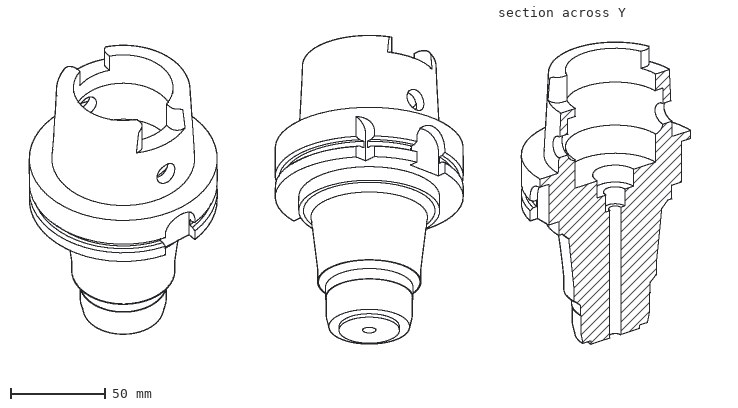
import cadquery as cq
import math

SHANK_TOP = 50.0
FLANGE_BOTTOM = -29.0
NOSE_BOTTOM = -107.4

SHANK_BASE_RADIUS = 38.0
SHANK_SLOPE = 0.05
SHANK_TOP_RADIUS = SHANK_BASE_RADIUS - SHANK_SLOPE * SHANK_TOP
SHANK_RIM_FILLET = 2.0

FLANGE_RADIUS = 50.0
GROOVE_LIP_RADIUS = 48.0
GROOVE_RADIUS = 45.8
GROOVE_CENTRE = -19.85
GROOVE_WIDTH = 3.75
GROOVE_LIP_ANGLE = 30.0

COLLAR_RADIUS = 37.5
COLLAR_BOTTOM = -37.0
NECK_SHOULDER_RADIUS = 35.0
NECK_TOP_RADIUS = 31.0
NECK_TOP = -40.8
NECK_RADIUS = 27.5
NECK_TAPER_END = -71.2
NECK_BOTTOM = -79.0
NOSE_SHOULDER_RADIUS = 27.0
NOSE_COLLAR_RADIUS = 23.3
NOSE_COLLAR_TOP = -82.2
NOSE_COLLAR_BOTTOM = -88.2
NOSE_RADIUS = 22.9
NOSE_TAPER_START = -99.2
NOSE_END_RADIUS = 21.5
NOSE_END = -105.4
NOSE_TIP_RADIUS = 16.1

BORE_RADIUS = 26.5
BORE_FLOOR = -12.0
UNDERCUT_RADIUS = 31.4
UNDERCUT_TOP = 30.0
UNDERCUT_FILLET = UNDERCUT_RADIUS - BORE_RADIUS
UNDERCUT_FILLET_TOP = 9.5
UNDERCUT_BOTTOM = UNDERCUT_FILLET_TOP - UNDERCUT_FILLET
RECESS_RADIUS = 12.0
RECESS_DEPTH = 10.0
COUNTERBORE_RADIUS = 6.2
COUNTERBORE_DEPTH = 10.0
COOLANT_HOLE_RADIUS = 3.5

DRIVE_SLOT_HALF_WIDTH = 10.0
DRIVE_SLOT_CORNER_RADIUS = 5.0
DRIVE_LUG_FLAT_X = 32.3
DRIVE_SLOT_DEPTH_MINUS_X = 10.0
DRIVE_SLOT_DEPTH_PLUS_X = 15.0

CROSS_HOLE_RADIUS = 6.0
CROSS_HOLE_Z = 15.0

KEYWAY_RADIUS = 10.0
KEYWAY_TOP = -5.0
KEYWAY_FLOOR_X = 44.0
NOTCH_RADIUS = 8.5
NOTCH_TOP = -5.0
NOTCH_FLOOR_X = 32.1
NOTCH_WALL_Y = 31.3


def make_body():
    """Solid of revolution: shank, grooved flange, neck and nose."""
    groove_top = GROOVE_CENTRE + GROOVE_WIDTH / 2
    groove_bottom = GROOVE_CENTRE - GROOVE_WIDTH / 2
    lip_height = (FLANGE_RADIUS - GROOVE_LIP_RADIUS) * math.tan(math.radians(GROOVE_LIP_ANGLE))
    outline = [
        (0, SHANK_TOP),
        (SHANK_TOP_RADIUS, SHANK_TOP),
        (SHANK_BASE_RADIUS, 0),
        (FLANGE_RADIUS, 0),
        (FLANGE_RADIUS, groove_top + lip_height),
        (GROOVE_LIP_RADIUS, groove_top),
        (GROOVE_RADIUS, groove_top),
        (GROOVE_RADIUS, groove_bottom),
        (GROOVE_LIP_RADIUS, groove_bottom),
        (FLANGE_RADIUS, groove_bottom - lip_height),
        (FLANGE_RADIUS, FLANGE_BOTTOM),
        (COLLAR_RADIUS, FLANGE_BOTTOM),
        (COLLAR_RADIUS, COLLAR_BOTTOM),
        (NECK_SHOULDER_RADIUS, COLLAR_BOTTOM),
        (NECK_TOP_RADIUS, NECK_TOP),
        (NECK_RADIUS, NECK_TAPER_END),
        (NECK_RADIUS, NECK_BOTTOM),
        (NOSE_SHOULDER_RADIUS, NECK_BOTTOM),
        (NOSE_COLLAR_RADIUS, NOSE_COLLAR_TOP),
        (NOSE_COLLAR_RADIUS, NOSE_COLLAR_BOTTOM),
        (NOSE_RADIUS, NOSE_COLLAR_BOTTOM),
        (NOSE_RADIUS, NOSE_TAPER_START),
        (NOSE_END_RADIUS, NOSE_END),
        (NOSE_TIP_RADIUS, NOSE_END),
        (NOSE_TIP_RADIUS, NOSE_BOTTOM),
        (0, NOSE_BOTTOM),
    ]
    body = cq.Workplane("XZ").polyline(outline).close().revolve(360, (0, 0), (0, 1))
    return body.faces(">Z").edges().fillet(SHANK_RIM_FILLET)


def make_bore():
    """Stepped bore: clamping bore with a round-bottomed undercut, recess, counterbore and coolant hole."""
    recess_floor = BORE_FLOOR - RECESS_DEPTH
    counterbore_floor = recess_floor - COUNTERBORE_DEPTH
    fillet_reach = UNDERCUT_FILLET * math.sqrt(0.5)
    fillet_mid = (BORE_RADIUS + fillet_reach, UNDERCUT_FILLET_TOP - fillet_reach)
    outline = (
        cq.Workplane("XZ")
        .moveTo(0, SHANK_TOP)
        .lineTo(BORE_RADIUS, SHANK_TOP)
        .lineTo(BORE_RADIUS, UNDERCUT_TOP)
        .lineTo(UNDERCUT_RADIUS, UNDERCUT_TOP)
        .lineTo(UNDERCUT_RADIUS, UNDERCUT_FILLET_TOP)
        .threePointArc(fillet_mid, (BORE_RADIUS, UNDERCUT_BOTTOM))
        .lineTo(BORE_RADIUS, BORE_FLOOR)
        .lineTo(RECESS_RADIUS, BORE_FLOOR)
        .lineTo(RECESS_RADIUS, recess_floor)
        .lineTo(COUNTERBORE_RADIUS, recess_floor)
        .lineTo(COUNTERBORE_RADIUS, counterbore_floor)
        .lineTo(COOLANT_HOLE_RADIUS, counterbore_floor)
        .lineTo(COOLANT_HOLE_RADIUS, NOSE_BOTTOM)
        .lineTo(0, NOSE_BOTTOM)
        .close()
    )
    return outline.revolve(360, (0, 0), (0, 1))


def make_drive_slot(side, depth):
    """Slot through the shank rim on one X side, its mouth rounded out to a flat on each lug."""
    corner_x = DRIVE_LUG_FLAT_X - DRIVE_SLOT_CORNER_RADIUS
    corner_y = DRIVE_SLOT_HALF_WIDTH + DRIVE_SLOT_CORNER_RADIUS
    arc_reach = DRIVE_SLOT_CORNER_RADIUS * math.sqrt(0.5)
    arc_mid = (corner_x + arc_reach, corner_y - arc_reach)
    slot = (
        cq.Workplane("XY", origin=(0, 0, SHANK_TOP - depth))
        .moveTo(0, 0)
        .lineTo(0, DRIVE_SLOT_HALF_WIDTH)
        .lineTo(corner_x, DRIVE_SLOT_HALF_WIDTH)
        .threePointArc(arc_mid, (DRIVE_LUG_FLAT_X, corner_y))
        .lineTo(DRIVE_LUG_FLAT_X, SHANK_BASE_RADIUS)
        .lineTo(SHANK_BASE_RADIUS, SHANK_BASE_RADIUS)
        .lineTo(SHANK_BASE_RADIUS, 0)
        .close()
        .extrude(depth)
    )
    slot = slot.union(slot.mirror("XZ"))
    if side < 0:
        slot = slot.mirror("YZ")
    return slot


def make_flange_slot(side, centre_y, floor_x, radius, top):
    """Round-topped slot cut along X into the flange, open at the flange's lower face."""
    arch_centre = top - radius
    start_x = side * floor_x
    return (
        cq.Workplane("YZ", origin=(start_x, 0, 0))
        .moveTo(centre_y - radius, FLANGE_BOTTOM)
        .lineTo(centre_y - radius, arch_centre)
        .threePointArc((centre_y, top), (centre_y + radius, arch_centre))
        .lineTo(centre_y + radius, FLANGE_BOTTOM)
        .close()
        .extrude(side * (FLANGE_RADIUS - floor_x))
    )


def make_cross_hole():
    """Radial hole along X through both walls of the shank."""
    return (
        cq.Workplane("YZ", origin=(-SHANK_BASE_RADIUS, 0, CROSS_HOLE_Z))
        .circle(CROSS_HOLE_RADIUS)
        .extrude(2 * SHANK_BASE_RADIUS)
    )


result = make_body().cut(make_bore()).cut(make_cross_hole())
result = result.cut(make_drive_slot(-1, DRIVE_SLOT_DEPTH_MINUS_X))
result = result.cut(make_drive_slot(1, DRIVE_SLOT_DEPTH_PLUS_X))
for side in (-1, 1):
    result = result.cut(make_flange_slot(side, 0, KEYWAY_FLOOR_X, KEYWAY_RADIUS, KEYWAY_TOP))
result = result.cut(
    make_flange_slot(-1, NOTCH_WALL_Y + NOTCH_RADIUS, NOTCH_FLOOR_X, NOTCH_RADIUS, NOTCH_TOP)
)